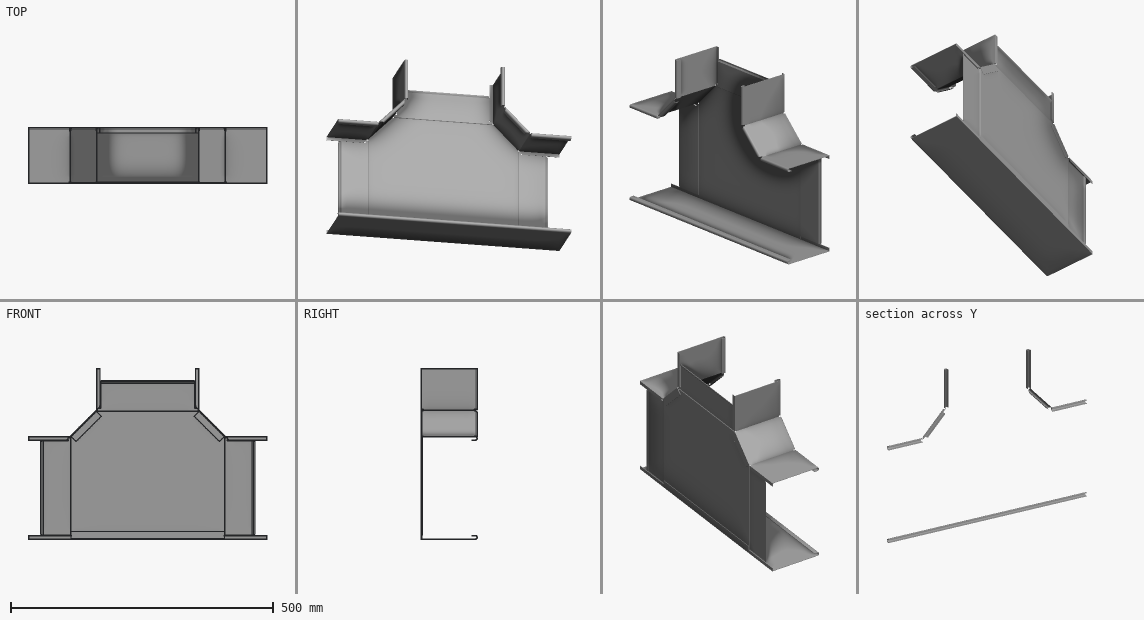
import cadquery as cq
import math

LENGTH = 454.0
DEPTH = 107.0
HEIGHT = 325.0
SHEET = 1.0

LEVEL_Z = 196.0
UPRIGHT_X = 98.0
BEND_X = 148.0
SLANT_ANGLE = 45.0
UPPER_BEND_Z = LEVEL_Z + BEND_X - UPRIGHT_X
BEND_GAP = 1.5
FRONT_RELIEF_Y = 3.5
REAR_RELIEF_Y = 101.2

FLANGE = 7.3
TAB = 15.0
FLANGE_CHAMFER = 6.0
LIP_BEVEL = 6.0
LIP_R = 3.75
LIP_END_Y = 96.5
LIP_START_Y = DEPTH - LIP_R

PLATE_INSET = 2.0
PLATE_SIDE_X = 145.7
PLATE_TOP_Z = 244.0
WING_LENGTH = 58.5
WING_CLEARANCE = 1.0
RIM = 2.5
RIM_SLOPE = 2.5
WING_CHAMFER = 2.0
EAR_LENGTH = 6.0
EAR_WIDTH = 6.0


def folded_strip(start, direction, length, flange):
    """Web with a front flange and a half-round rear lip, run along a direction in the XZ plane."""
    plane = cq.Plane(
        origin=(start[0], 0, start[1]), xDir=(0, 1, 0), normal=(direction[0], 0, direction[1])
    )
    return (
        cq.Workplane(plane)
        .moveTo(0, 0)
        .lineTo(LIP_START_Y, 0)
        .threePointArc((DEPTH, LIP_R), (LIP_START_Y, 2 * LIP_R))
        .lineTo(LIP_END_Y, 2 * LIP_R)
        .lineTo(LIP_END_Y, 2 * LIP_R - SHEET)
        .lineTo(LIP_START_Y, 2 * LIP_R - SHEET)
        .threePointArc((DEPTH - SHEET, LIP_R), (LIP_START_Y, SHEET))
        .lineTo(SHEET, SHEET)
        .lineTo(SHEET, flange)
        .lineTo(0, flange)
        .close()
        .extrude(length)
    )


def prism(points, front_y, back_y):
    """Extrude an XZ outline from front_y to back_y."""
    plane = cq.Plane(origin=(0, front_y, 0), xDir=(1, 0, 0), normal=(0, -1, 0))
    return cq.Workplane(plane).polyline(points).close().extrude(front_y - back_y)


def make_bottom_channel():
    channel = folded_strip((-LENGTH / 2, 0), (1, 0), LENGTH, FLANGE)
    tab = cq.Workplane("XY").box(2 * PLATE_SIDE_X, SHEET, TAB, centered=(True, False, False))
    return channel.union(tab)


def make_slanted_strip():
    """Slanted stretch of a corner panel, laid level with its lower bend at the origin."""
    slant_length = math.hypot(BEND_X - UPRIGHT_X, UPPER_BEND_Z - LEVEL_Z)
    first_x = BEND_GAP
    last_x = slant_length - BEND_GAP
    strip = folded_strip((last_x, 0), (-1, 0), last_x - first_x, TAB)
    lip_tip_z = -2 * LIP_R
    for end_x, inward in ((first_x, 1), (last_x, -1)):
        bevel = prism(
            [(end_x, -SHEET), (end_x, lip_tip_z), (end_x + inward * LIP_BEVEL, lip_tip_z)],
            LIP_END_Y,
            DEPTH,
        )
        strip = strip.cut(bevel)
    return strip


def make_left_panel():
    mitre = SHEET * math.tan(math.radians(SLANT_ANGLE / 2))

    web = prism(
        [
            (-LENGTH / 2, LEVEL_Z),
            (-BEND_X, LEVEL_Z),
            (-UPRIGHT_X, UPPER_BEND_Z),
            (-UPRIGHT_X, HEIGHT),
            (-UPRIGHT_X + SHEET, HEIGHT),
            (-UPRIGHT_X + SHEET, UPPER_BEND_Z - mitre),
            (-BEND_X + mitre, LEVEL_Z - SHEET),
            (-LENGTH / 2, LEVEL_Z - SHEET),
        ],
        FRONT_RELIEF_Y,
        REAR_RELIEF_Y,
    )

    upright_end_z = UPPER_BEND_Z + BEND_GAP
    upright = folded_strip((-UPRIGHT_X, HEIGHT), (0, -1), HEIGHT - upright_end_z, FLANGE)
    slanted = make_slanted_strip().rotate((0, 0, 0), (0, 1, 0), -SLANT_ANGLE).translate(
        (-BEND_X, 0, LEVEL_Z)
    )
    level_end_x = -BEND_X - BEND_GAP
    level = folded_strip((level_end_x, LEVEL_Z), (-1, 0), LENGTH / 2 + level_end_x, FLANGE)

    upright_tip_x = -UPRIGHT_X + FLANGE
    upright_corner = prism(
        [
            (upright_tip_x, upright_end_z),
            (upright_tip_x, upright_end_z + FLANGE_CHAMFER),
            (upright_tip_x - FLANGE_CHAMFER, upright_end_z),
        ],
        0,
        SHEET,
    )
    level_tip_z = LEVEL_Z - FLANGE
    level_corner = prism(
        [
            (level_end_x, level_tip_z),
            (level_end_x, level_tip_z + FLANGE_CHAMFER),
            (level_end_x - FLANGE_CHAMFER, level_tip_z),
        ],
        0,
        SHEET,
    )
    return web.union(upright.cut(upright_corner)).union(slanted).union(level.cut(level_corner))


def extruded_sheet(front, width):
    """Sheet whose front follows the given XY points, extruded by width along Z."""
    back = [(x, y + SHEET) for x, y in reversed(front)]
    return cq.Workplane("XY").polyline(front + back).close().extrude(width)


def make_wing(width):
    """Wing along +X that steps back by one sheet and ends in a rim at the front, with an upper ear."""
    set_back = 2 * SHEET
    step = [(0, SHEET), (SHEET, set_back)]
    end = [
        (WING_LENGTH - RIM - RIM_SLOPE, set_back),
        (WING_LENGTH - RIM, 0),
        (WING_LENGTH, 0),
    ]
    wing = extruded_sheet(step + end, width).edges("|Y").edges(">X").chamfer(WING_CHAMFER)
    ear = extruded_sheet(step + [(EAR_LENGTH, set_back)], width / 2 + EAR_WIDTH)
    return wing.union(ear.translate((0, 0, width / 2)))


def make_base_plate():
    slant_sum = LEVEL_Z + BEND_X - PLATE_INSET * math.sqrt(2)
    slant_top_x = slant_sum - PLATE_TOP_Z
    shoulder_z = slant_sum - PLATE_SIDE_X
    plate = prism(
        [
            (-PLATE_SIDE_X, PLATE_INSET),
            (-PLATE_SIDE_X, shoulder_z),
            (-slant_top_x, PLATE_TOP_Z),
            (slant_top_x, PLATE_TOP_Z),
            (PLATE_SIDE_X, shoulder_z),
            (PLATE_SIDE_X, PLATE_INSET),
        ],
        SHEET,
        2 * SHEET,
    )

    wing_offset = FLANGE + WING_CLEARANCE
    side_width = LEVEL_Z - 2 * wing_offset
    right_wing = make_wing(side_width).translate((PLATE_SIDE_X, 0, wing_offset))
    left_wing = right_wing.mirror("YZ")

    top_width = 2 * (UPRIGHT_X - wing_offset)
    one_eared_wing = (
        make_wing(top_width)
        .rotate((0, 0, 0), (0, 1, 0), -90)
        .translate((top_width / 2, 0, PLATE_TOP_Z))
    )
    top_wing = one_eared_wing.union(one_eared_wing.mirror("YZ"))
    return plate.union(right_wing).union(left_wing).union(top_wing)


bottom_channel = make_bottom_channel()
left_panel = make_left_panel()
right_panel = left_panel.mirror("YZ")
base_plate = make_base_plate()

result = cq.Compound.makeCompound(
    [bottom_channel.val(), left_panel.val(), right_panel.val(), base_plate.val()]
)